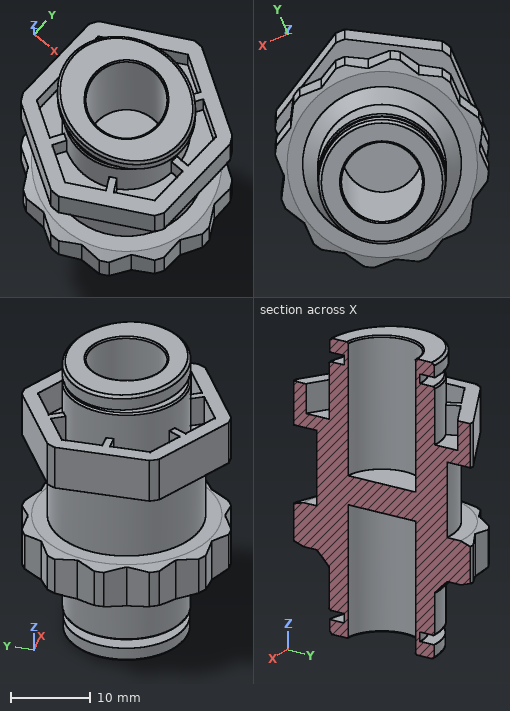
import cadquery as cq
import math


TOTAL_HEIGHT = 40.0

COLLAR_HEIGHT = 2.0
COLLAR_RADIUS = 8.0
COLLAR_LONG_RADIUS = 9.25
COLLAR_CHAMFER = 0.35
NECK_RADIUS = 5.85
NECK_HEIGHT = 1.2
BORE_RADIUS = 5.1
BORE_CHAMFER = 0.2
BORE_DEPTH = 18.0

BODY_DIAMETER = 16.2
BODY_RADIUS = BODY_DIAMETER / 2
BODY_CHAMFER = 0.25
BODY_BOTTOM = COLLAR_HEIGHT + NECK_HEIGHT
BODY_TOP = TOTAL_HEIGHT - BODY_BOTTOM
BARREL_RADIUS = 10.0
CONE_BOTTOM = 9.0
CONE_HEIGHT = BARREL_RADIUS - BODY_RADIUS

HEX_ACROSS_FLATS = 24.0
HEX_CORNER_DIAMETER = 27.0
HEX_CORNER_RADIUS = HEX_CORNER_DIAMETER / 2
HEX_HEIGHT = 6.0

HEAD_BOTTOM = 27.0
HEAD_TOP = HEAD_BOTTOM + HEX_HEIGHT
POCKET_ACROSS_FLATS = 20.0
POCKET_DEPTH = 4.0
RIB_WIDTH = 1.0
RIB_COUNT = 6

NUT_BOTTOM = CONE_BOTTOM + CONE_HEIGHT
NUT_FACE_RADIUS = HEX_ACROSS_FLATS / 2
NUT_CHAMFER_HEIGHT = 0.5


def cylinder(radius, bottom, height):
    return cq.Workplane("XY").workplane(offset=bottom).circle(radius).extrude(height)


def hexagon(across_flats, bottom, height, turn):
    """Hexagonal prism with a corner on +X, turned about Z by the given angle in degrees."""
    across_corners = across_flats / math.cos(math.radians(30))
    prism = cq.Workplane("XY").workplane(offset=bottom).polygon(6, across_corners).extrude(height)
    return prism.rotate((0, 0, 0), (0, 0, 1), turn)


def make_body():
    """Turned body with a chamfer at each end and a cone up to the barrel below the nut."""
    end_radius = BODY_RADIUS - BODY_CHAMFER
    profile = [
        (0, BODY_BOTTOM),
        (end_radius, BODY_BOTTOM),
        (BODY_RADIUS, BODY_BOTTOM + BODY_CHAMFER),
        (BODY_RADIUS, CONE_BOTTOM),
        (BARREL_RADIUS, CONE_BOTTOM + CONE_HEIGHT),
        (BARREL_RADIUS, HEAD_BOTTOM),
        (BODY_RADIUS, HEAD_BOTTOM),
        (BODY_RADIUS, BODY_TOP - BODY_CHAMFER),
        (end_radius, BODY_TOP),
        (0, BODY_TOP),
    ]
    return cq.Workplane("XZ").polyline(profile).close().revolve(360, (0, 0, 0), (0, 1, 0))


def make_head():
    """Hexagonal head, hollowed from above around the body and braced by radial ribs."""
    head = hexagon(HEX_ACROSS_FLATS, HEAD_BOTTOM, HEX_HEIGHT, 30)
    head = head.intersect(cylinder(HEX_CORNER_RADIUS, HEAD_BOTTOM, HEX_HEIGHT))

    pocket_floor = HEAD_TOP - POCKET_DEPTH
    pocket = hexagon(POCKET_ACROSS_FLATS, pocket_floor, POCKET_DEPTH, 30)
    head = head.cut(pocket.cut(cylinder(BODY_RADIUS, pocket_floor, POCKET_DEPTH)))

    for index in range(RIB_COUNT // 2):
        bar = cq.Workplane("XY").workplane(offset=pocket_floor)
        bar = bar.rect(POCKET_ACROSS_FLATS, RIB_WIDTH).extrude(POCKET_DEPTH)
        head = head.union(bar.rotate((0, 0, 0), (0, 0, 1), index * 360 / RIB_COUNT))
    return head


def make_nut():
    """Twelve-point nut: two crossed hexagons inside a chamfered round blank."""
    star = hexagon(HEX_ACROSS_FLATS, NUT_BOTTOM, HEX_HEIGHT, 0)
    star = star.union(hexagon(HEX_ACROSS_FLATS, NUT_BOTTOM, HEX_HEIGHT, 30))

    blank = cylinder(HEX_CORNER_RADIUS, NUT_BOTTOM, HEX_HEIGHT)
    face_setback = HEX_CORNER_RADIUS - NUT_FACE_RADIUS
    blank = blank.faces(">Z").chamfer(NUT_CHAMFER_HEIGHT, face_setback)
    blank = blank.faces("<Z").chamfer(NUT_CHAMFER_HEIGHT, face_setback)
    return star.intersect(blank)


def make_upper_collar():
    """Oval collar, longer along X, chamfered around its top edge."""
    collar = cq.Workplane("XY").workplane(offset=TOTAL_HEIGHT - COLLAR_HEIGHT)
    collar = collar.ellipse(COLLAR_LONG_RADIUS, COLLAR_RADIUS).extrude(COLLAR_HEIGHT)
    collar = collar.faces(">Z").chamfer(COLLAR_CHAMFER)
    return collar.union(cylinder(NECK_RADIUS, BODY_TOP, NECK_HEIGHT))


def make_lower_collar():
    """Round collar, chamfered around its bottom edge."""
    collar = cylinder(COLLAR_RADIUS, 0, COLLAR_HEIGHT).faces("<Z").chamfer(COLLAR_CHAMFER)
    return collar.union(cylinder(NECK_RADIUS, COLLAR_HEIGHT, NECK_HEIGHT))


def make_lower_bore():
    """Blind tube bore from the bottom face, with a chamfered mouth."""
    mouth_radius = BORE_RADIUS + BORE_CHAMFER
    profile = [
        (0, 0),
        (mouth_radius, 0),
        (BORE_RADIUS, BORE_CHAMFER),
        (BORE_RADIUS, BORE_DEPTH),
        (0, BORE_DEPTH),
    ]
    return cq.Workplane("XZ").polyline(profile).close().revolve(360, (0, 0, 0), (0, 1, 0))


lower_bore = make_lower_bore()
upper_bore = lower_bore.mirror("XY", (0, 0, TOTAL_HEIGHT / 2))

result = make_body().union(make_head()).union(make_nut())
result = result.union(make_upper_collar()).union(make_lower_collar())
result = result.cut(lower_bore).cut(upper_bore)